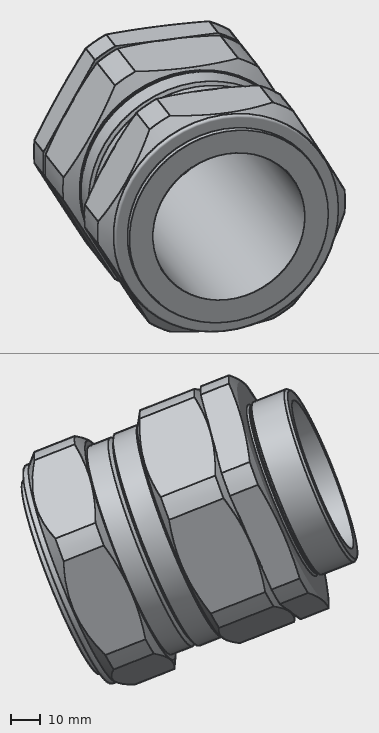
import cadquery as cq
import math


total_length = 95.7
bore_radius = 27.0
across_flats = 80.0
across_corners = 87.95
hex_corner_radius = across_corners / 2

thread_radius = 31.5
thread_root_radius = 30.6
entry_chamfer_length = 1.0
runout_shoulder_radius = 31.2
thread_end = 12.8
runout_start = 13.6
runout_end = 14.1

entry_hex_start = 14.8
entry_hex_end = 26.4
entry_hex_face_radius = 39.5
entry_hex_chamfer_length = 1.2

body_hex_end = 51.7
body_hex_front_radius = 39.8
body_hex_front_chamfer_length = 2.3
body_hex_back_radius = 39.0
body_hex_back_chamfer_length = 3.0

front_sleeve_radius = 38.7
front_sleeve_chamfer = 0.5
back_sleeve_radius = 38.0
groove_root_radius = 36.8
groove_start = 60.7
groove_root_position = 61.5
groove_end = 62.8

cap_hex_start = 70.5
cap_hex_end = 91.4
cap_hex_front_radius = 39.9
cap_hex_front_chamfer_length = 2.1
cap_hex_back_radius = 39.6
cap_hex_back_chamfer_length = 4.0

collar_radius = 39.8
collar_taper_length = 1.0
collar_end = 93.5
collar_round_radius = 0.8
lip_radius = 35.3


def revolve_about_x(profile):
    return profile.close().revolve(360, (0, 0, 0), (1, 0, 0))


def hex_section(blank_outline):
    """Hex with flats facing +Z and -Z, cut from a turned blank given as (position, radius) points."""
    start = blank_outline[0][0]
    end = blank_outline[-1][0]
    corner_diameter = across_flats / math.cos(math.radians(30))
    prism = (
        cq.Workplane("YZ")
        .workplane(offset=start)
        .polygon(6, corner_diameter)
        .extrude(end - start)
    )
    blank = revolve_about_x(
        cq.Workplane("XY")
        .moveTo(start, 0)
        .polyline(blank_outline, includeCurrent=True)
        .lineTo(end, 0)
    )
    return prism.intersect(blank)


def threaded_entry():
    """Plain thread envelope, chamfered at both ends, with a runout groove before the entry hex."""
    return revolve_about_x(
        cq.Workplane("XY")
        .moveTo(0, 0)
        .lineTo(0, thread_root_radius)
        .lineTo(entry_chamfer_length, thread_radius)
        .lineTo(thread_end, thread_radius)
        .lineTo(runout_start, thread_root_radius)
        .lineTo(runout_end, thread_root_radius)
        .lineTo(entry_hex_start, runout_shoulder_radius)
        .lineTo(entry_hex_start, 0)
    )


def grooved_sleeve():
    """Sleeve between body hex and cap nut."""
    return revolve_about_x(
        cq.Workplane("XY")
        .moveTo(body_hex_end, 0)
        .lineTo(body_hex_end, front_sleeve_radius - front_sleeve_chamfer)
        .lineTo(body_hex_end + front_sleeve_chamfer, front_sleeve_radius)
        .lineTo(groove_start, front_sleeve_radius)
        .lineTo(groove_root_position, groove_root_radius)
        .lineTo(groove_end, back_sleeve_radius)
        .lineTo(cap_hex_start, back_sleeve_radius)
        .lineTo(cap_hex_start, 0)
    )


def collar_and_lip():
    """Rounded collar behind the cap nut, followed by the smaller seal lip."""
    round_start = collar_end - collar_round_radius
    diagonal = collar_round_radius * math.sin(math.radians(45))
    round_centre_radius = collar_radius - collar_round_radius
    return revolve_about_x(
        cq.Workplane("XY")
        .moveTo(cap_hex_end, 0)
        .lineTo(cap_hex_end, cap_hex_back_radius)
        .lineTo(cap_hex_end + collar_taper_length, collar_radius)
        .lineTo(round_start, collar_radius)
        .threePointArc(
            (round_start + diagonal, round_centre_radius + diagonal),
            (collar_end, round_centre_radius),
        )
        .lineTo(collar_end, lip_radius)
        .lineTo(total_length, lip_radius)
        .lineTo(total_length, 0)
    )


entry_hex = hex_section([
    (entry_hex_start, entry_hex_face_radius),
    (entry_hex_start + entry_hex_chamfer_length, hex_corner_radius),
    (entry_hex_end, hex_corner_radius),
])
body_hex = hex_section([
    (entry_hex_end, body_hex_front_radius),
    (entry_hex_end + body_hex_front_chamfer_length, hex_corner_radius),
    (body_hex_end - body_hex_back_chamfer_length, hex_corner_radius),
    (body_hex_end, body_hex_back_radius),
])
cap_hex = hex_section([
    (cap_hex_start, cap_hex_front_radius),
    (cap_hex_start + cap_hex_front_chamfer_length, hex_corner_radius),
    (cap_hex_end - cap_hex_back_chamfer_length, hex_corner_radius),
    (cap_hex_end, cap_hex_back_radius),
])
bore = cq.Workplane("YZ").circle(bore_radius).extrude(total_length)

result = (
    threaded_entry()
    .union(entry_hex)
    .union(body_hex)
    .union(grooved_sleeve())
    .union(cap_hex)
    .union(collar_and_lip())
    .cut(bore)
)